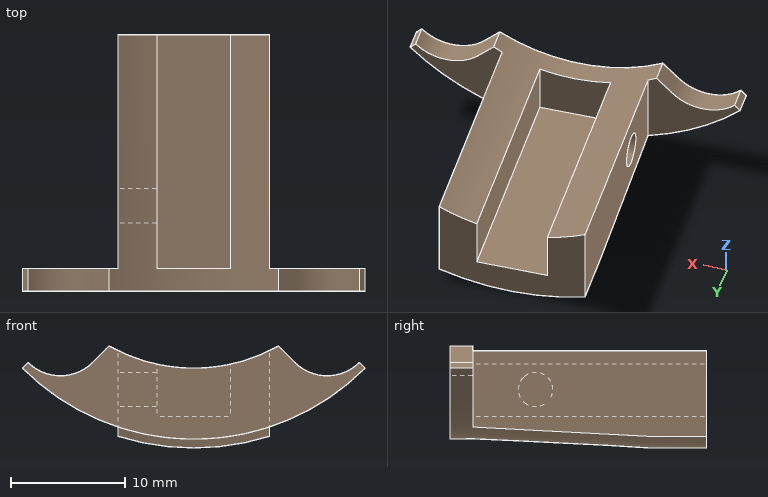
import cadquery as cq
import math

axis_height = 22.03

flange_thickness = 2.0
inner_radius = 15.02
flange_outer_radius = 21.25
tip_thickness = 0.72
tip_angle = math.radians(45)
scallop_radius = 4.0

total_length = 22.5
body_width = 13.28
rear_outer_radius = axis_height
taper_end = 17.5
slot_width = 6.43
slot_floor = 2.75

hole_diameter = 3.0
hole_y = 7.5
hole_z = 5.15


def polar(radius, angle):
    """Point at a radius from the shared axis, at an angle from straight down towards +X."""
    return radius * math.sin(angle), axis_height - radius * math.cos(angle)


def mirrored(point):
    return -point[0], point[1]


def make_flange():
    """Arched plate with a scallop that thins each end to a narrow radial tip."""
    outer_tip = polar(flange_outer_radius, tip_angle)
    inner_tip_radius = flange_outer_radius - tip_thickness
    inner_tip = polar(inner_tip_radius, tip_angle)

    scallop_center_radius = inner_tip_radius - scallop_radius
    center_x, center_z = polar(scallop_center_radius, tip_angle)
    scallop_bottom = (center_x, center_z - scallop_radius)
    scallop_end = (
        center_x - scallop_radius * math.cos(tip_angle),
        center_z - scallop_radius * math.sin(tip_angle),
    )

    ridge_angle = tip_angle - math.asin(scallop_radius / inner_radius)
    ridge = polar(inner_radius, ridge_angle)

    return (
        cq.Workplane("XZ")
        .moveTo(*mirrored(outer_tip))
        .threePointArc(polar(flange_outer_radius, 0), outer_tip)
        .lineTo(*inner_tip)
        .threePointArc(scallop_bottom, scallop_end)
        .lineTo(*ridge)
        .threePointArc(polar(inner_radius, 0), mirrored(ridge))
        .lineTo(*mirrored(scallop_end))
        .threePointArc(mirrored(scallop_bottom), mirrored(inner_tip))
        .close()
        .extrude(-flange_thickness)
    )


def make_body():
    """Ring with a conical underside, trimmed to the body width below the axis."""
    ring = (
        cq.Workplane("XY")
        .polyline([
            (inner_radius, 0),
            (flange_outer_radius, 0),
            (flange_outer_radius, flange_thickness),
            (rear_outer_radius, taper_end),
            (rear_outer_radius, total_length),
            (inner_radius, total_length),
        ])
        .close()
        .revolve(360, (0, 0, 0), (0, 1, 0))
        .translate((0, 0, axis_height))
    )
    trim = cq.Workplane("XY").box(
        body_width, total_length - flange_thickness / 2, axis_height, centered=(True, False, False)
    ).translate((0, flange_thickness / 2, 0))
    return ring.intersect(trim)


def make_slot():
    """Channel open at the top and the rear, ending at the flange."""
    return cq.Workplane("XY").box(
        slot_width, total_length - flange_thickness, axis_height, centered=(True, False, False)
    ).translate((0, flange_thickness, slot_floor))


def make_cross_hole():
    """Hole through the -X wall into the slot."""
    return (
        cq.Workplane("YZ", origin=(-body_width / 2, 0, 0))
        .center(hole_y, hole_z)
        .circle(hole_diameter / 2)
        .extrude((body_width - slot_width) / 2)
    )


result = make_flange().union(make_body()).cut(make_slot()).cut(make_cross_hole())